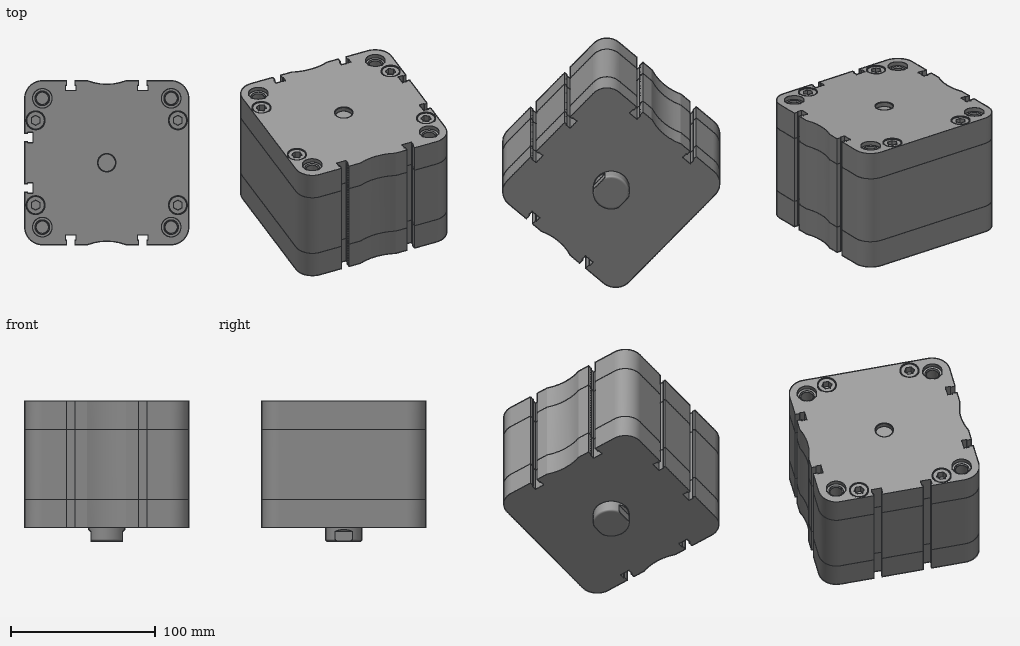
import cadquery as cq
import math

SIDE = 113.5
HALF = SIDE / 2
CORNER_RADIUS = 12.5
SCALLOP_CHORD = 27.0
SCALLOP_DEPTH = 2.5

THROAT_WIDTH = 5.7
SLOT_WIDTH = 7.0
SIDE_SLOT_OFFSET = 24.9
SIDE_THROAT_DEPTH = 3.3
SIDE_SLOT_DEPTH = 6.8
LEFT_SLOT_OFFSET = 17.5
LEFT_THROAT_DEPTH = 2.0
LEFT_SLOT_DEPTH = 5.7

CAP_HEIGHT = 19.5
BODY_HEIGHT = 87.5
BARREL_HEIGHT = BODY_HEIGHT - 2 * CAP_HEIGHT
REAR_CAP_BASE = CAP_HEIGHT + BARREL_HEIGHT

MOUNT_OFFSET = 44.5
COUNTERBORE_DIAMETER = 13.5
COUNTERBORE_DEPTH = 3.0
MOUNT_MOUTH_DIAMETER = 10.1
MOUNT_HOLE_DIAMETER = 8.5
MOUNT_CHAMFER = (MOUNT_MOUTH_DIAMETER - MOUNT_HOLE_DIAMETER) / 2
MOUNT_DEPTH = 15.9

SCREW_X = 49.1
SCREW_Y = 29.3
SCREW_DIAMETER = 13.0
SCREW_TOP_DIAMETER = 12.0
SCREW_RECESS = 0.5
SCREW_CHAMFER = (SCREW_DIAMETER - SCREW_TOP_DIAMETER) / 2
SOCKET_WIDTH = 6.0
SOCKET_DEPTH = 5.1

CENTRE_DIAMETER = 12.0
CENTRE_MOUTH_DIAMETER = 12.7
CENTRE_CHAMFER = (CENTRE_MOUTH_DIAMETER - CENTRE_DIAMETER) / 2
CENTRE_DEPTH = 3.4

ROD_DIAMETER = 25.0
ROD_PROJECTION = 9.5
ROD_END_FILLET = 1.5
FLAT_WIDTH = 22.0
FLAT_LENGTH = 6.8


def t_slot(face_angle, offset, throat_depth, depth, height):
    """Cutter for a T-slot in the -Y face, turned about Z by face_angle to the wanted face."""
    slot = (
        cq.Workplane("XY")
        .center(offset, -HALF)
        .rect(THROAT_WIDTH, 2 * throat_depth)
        .extrude(height)
    )
    pocket_depth = depth - throat_depth
    pocket = (
        cq.Workplane("XY")
        .center(offset, -HALF + throat_depth + pocket_depth / 2)
        .rect(SLOT_WIDTH, pocket_depth)
        .extrude(height)
    )
    return slot.union(pocket).rotate((0, 0, 0), (0, 0, 1), face_angle)


def scallop(side, height):
    """Cutter for the shallow hollow along the middle of the -Y (side = -1) or +Y face."""
    edge_y = side * HALF
    return (
        cq.Workplane("XY")
        .moveTo(-SCALLOP_CHORD / 2, edge_y)
        .threePointArc((0, edge_y - side * SCALLOP_DEPTH), (SCALLOP_CHORD / 2, edge_y))
        .close()
        .extrude(height)
    )


def profile_block(base, height):
    """Length of the slotted outline, standing on Z = base."""
    block = (
        cq.Workplane("XY")
        .rect(SIDE, SIDE)
        .extrude(height)
        .edges("|Z")
        .fillet(CORNER_RADIUS)
    )
    for side in (-1, 1):
        block = block.cut(scallop(side, height))
        block = block.cut(
            t_slot(-90, side * LEFT_SLOT_OFFSET, LEFT_THROAT_DEPTH, LEFT_SLOT_DEPTH, height)
        )
        for face_angle in (0, 180):
            block = block.cut(
                t_slot(face_angle, side * SIDE_SLOT_OFFSET, SIDE_THROAT_DEPTH, SIDE_SLOT_DEPTH, height)
            )
    return block.translate((0, 0, base))


def mounting_hole():
    """Cutter for a counterbored, chamfered blind hole, its mouth at Z = 0."""
    mouth_z = -COUNTERBORE_DEPTH
    return (
        cq.Workplane("XZ")
        .lineTo(COUNTERBORE_DIAMETER / 2, 0)
        .lineTo(COUNTERBORE_DIAMETER / 2, mouth_z)
        .lineTo(MOUNT_MOUTH_DIAMETER / 2, mouth_z)
        .lineTo(MOUNT_HOLE_DIAMETER / 2, mouth_z - MOUNT_CHAMFER)
        .lineTo(MOUNT_HOLE_DIAMETER / 2, -MOUNT_DEPTH)
        .lineTo(0, -MOUNT_DEPTH)
        .close()
        .revolve(360, (0, 0, 0), (0, 1, 0))
    )


def screw_recess():
    """Cutter that leaves a chamfered, socketed screw head just below Z = 0."""
    recess = (
        cq.Workplane("XZ")
        .lineTo(SCREW_DIAMETER / 2, 0)
        .lineTo(SCREW_DIAMETER / 2, -SCREW_RECESS - SCREW_CHAMFER)
        .lineTo(SCREW_TOP_DIAMETER / 2, -SCREW_RECESS)
        .lineTo(0, -SCREW_RECESS)
        .close()
        .revolve(360, (0, 0, 0), (0, 1, 0))
    )
    socket_corner_diameter = SOCKET_WIDTH / math.cos(math.radians(30))
    socket = (
        cq.Workplane("XY")
        .polygon(6, socket_corner_diameter)
        .extrude(-SCREW_RECESS - SOCKET_DEPTH)
        .rotate((0, 0, 0), (0, 0, 1), 30)
    )
    return recess.union(socket)


def centre_hole():
    """Cutter for the blind centring hole with a chamfered mouth at Z = 0."""
    return (
        cq.Workplane("XZ")
        .lineTo(CENTRE_MOUTH_DIAMETER / 2, 0)
        .lineTo(CENTRE_DIAMETER / 2, -CENTRE_CHAMFER)
        .lineTo(CENTRE_DIAMETER / 2, -CENTRE_DEPTH)
        .lineTo(0, -CENTRE_DEPTH)
        .close()
        .revolve(360, (0, 0, 0), (0, 1, 0))
    )


def make_rear_cap():
    cap = profile_block(REAR_CAP_BASE, CAP_HEIGHT)
    for x_side in (-1, 1):
        for y_side in (-1, 1):
            cap = cap.cut(
                mounting_hole().translate((x_side * MOUNT_OFFSET, y_side * MOUNT_OFFSET, BODY_HEIGHT))
            )
            cap = cap.cut(screw_recess().translate((x_side * SCREW_X, y_side * SCREW_Y, BODY_HEIGHT)))
    return cap.cut(centre_hole().translate((0, 0, BODY_HEIGHT)))


def make_barrel():
    return profile_block(CAP_HEIGHT, BARREL_HEIGHT)


def make_front_cap():
    rod_bore = cq.Workplane("XY").circle(ROD_DIAMETER / 2).extrude(CAP_HEIGHT)
    return profile_block(0, CAP_HEIGHT).cut(rod_bore)


def make_rod():
    """Rod through the front cap, with two wrench flats that run out at 45 degrees."""
    rod = (
        cq.Workplane("XY", origin=(0, 0, -ROD_PROJECTION))
        .circle(ROD_DIAMETER / 2)
        .extrude(ROD_PROJECTION + CAP_HEIGHT)
        .faces("<Z")
        .edges()
        .fillet(ROD_END_FILLET)
    )
    flat_x = FLAT_WIDTH / 2
    flat_top = FLAT_LENGTH - ROD_PROJECTION
    outer_x = ROD_DIAMETER / 2
    for side in (-1, 1):
        flat = (
            cq.Workplane("XZ")
            .moveTo(side * flat_x, -ROD_PROJECTION)
            .lineTo(side * flat_x, flat_top)
            .lineTo(side * outer_x, flat_top + outer_x - flat_x)
            .lineTo(side * outer_x, -ROD_PROJECTION)
            .close()
            .extrude(ROD_DIAMETER / 2, both=True)
        )
        rod = rod.cut(flat)
    return rod


rear_cap = make_rear_cap()
barrel = make_barrel()
front_cap = make_front_cap()
rod = make_rod()

result = cq.Compound.makeCompound([rear_cap.val(), barrel.val(), front_cap.val(), rod.val()])